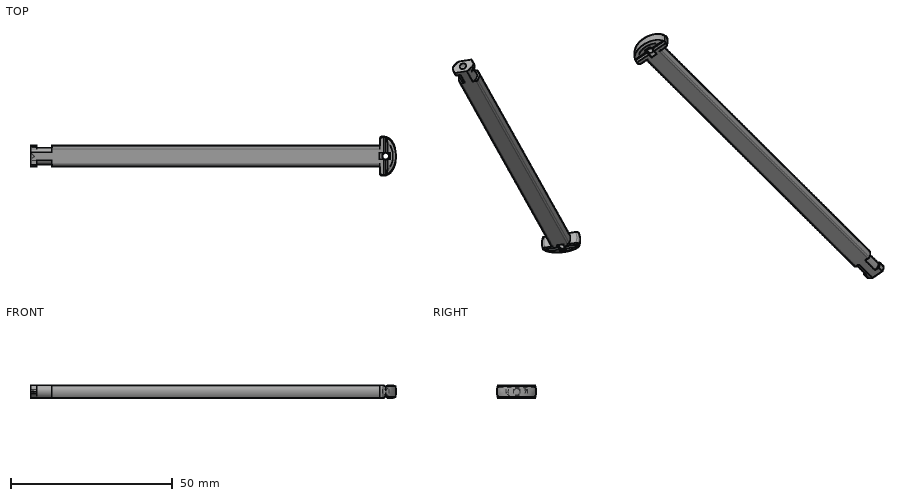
import cadquery as cq
import math

LENGTH = 113.1
THICKNESS = 4.0
HALF_THICKNESS = THICKNESS / 2

BAR_WIDTH = 6.7
BAR_RADIUS = BAR_WIDTH / 2
BAR_FLAT_ANGLE = math.asin(HALF_THICKNESS / BAR_RADIUS)
BAR_FLAT_WIDTH = 2 * BAR_RADIUS * math.cos(BAR_FLAT_ANGLE)
BAR_CORNER_RADIUS = 0.62

NECK_WIDTH = 5.3
NECK_FLAT_WIDTH = 2.5
NECK_END_X = 6.6

TIP_LENGTH = 1.8
FLANK_KNEE_Y = 2.9
FLANK_KNEE_Z = 0.7
FLANK_END_Y = 1.7
FLANK_END_Z = 1.7

CENTRE_HOLE_DIAMETER = 2.0
CENTRE_HOLE_DEPTH = 1.0

HEAD_START_X = 108.0
HEAD_WIDTH = 12.2
HEAD_FLAT_WIDTH = 11.5
HEAD_CORNER_RADIUS = 0.8
CAP_START_X = 109.2
CAP_FLAT_WIDTH = 9.0
CAP_BEVEL_HEIGHT = 0.3

HOLE_X = 109.8
HOLE_DIAMETER = 2.0
GROOVE_WIDTH = 1.2
GROOVE_DEPTH = 0.6
LEAD_IN_START_X = 107.8
LEAD_IN_END_X = 111.2
LEAD_IN_DEPTH = 1.4


def arched_bar(start_x, end_x, width, flat_width):
    """Bar along X with flat top and bottom faces and arched sides."""
    half_flat = flat_width / 2
    return (
        cq.Workplane("YZ", origin=(start_x, 0, 0))
        .moveTo(-half_flat, -HALF_THICKNESS)
        .lineTo(half_flat, -HALF_THICKNESS)
        .threePointArc((width / 2, 0), (half_flat, HALF_THICKNESS))
        .lineTo(-half_flat, HALF_THICKNESS)
        .threePointArc((-width / 2, 0), (-half_flat, -HALF_THICKNESS))
        .close()
        .extrude(end_x - start_x)
    )


def bayonet_tip():
    """Two lugs, each round on one side and bevelled in two steps on the other."""
    half_flat = BAR_FLAT_WIDTH / 2
    arc_middle_y = BAR_RADIUS * math.cos(BAR_FLAT_ANGLE / 2)
    arc_middle_z = BAR_RADIUS * math.sin(BAR_FLAT_ANGLE / 2)
    lug = (
        cq.Workplane("YZ")
        .moveTo(0, HALF_THICKNESS)
        .lineTo(-half_flat, HALF_THICKNESS)
        .threePointArc((-arc_middle_y, arc_middle_z), (-BAR_RADIUS, 0))
        .lineTo(-FLANK_KNEE_Y, -FLANK_KNEE_Z)
        .lineTo(-FLANK_END_Y, -FLANK_END_Z)
        .lineTo(0, -FLANK_END_Z)
        .close()
        .extrude(TIP_LENGTH)
    )
    return lug.union(lug.rotate((0, 0, 0), (1, 0, 0), 180))


def oval_body(flat_width, bevel_height):
    """Oval disc with bulged sides; a bevel narrows its top and bottom to the flat width."""
    bevel_z = HALF_THICKNESS - bevel_height
    half_width = HEAD_WIDTH / 2
    half_flat = flat_width / 2
    bulge = (HEAD_WIDTH - HEAD_FLAT_WIDTH) / 2
    side_radius = half_width - bulge * (bevel_z / HALF_THICKNESS) ** 2
    profile = cq.Workplane("XZ").moveTo(0, -HALF_THICKNESS).lineTo(half_flat, -HALF_THICKNESS)
    if bevel_height > 0:
        profile = profile.lineTo(side_radius, -bevel_z)
    profile = profile.threePointArc((half_width, 0), (side_radius, bevel_z))
    if bevel_height > 0:
        profile = profile.lineTo(half_flat, HALF_THICKNESS)
    disc = profile.lineTo(0, HALF_THICKNESS).close().revolve(360, (0, 0, 0), (0, 1, 0))
    squash = (LENGTH - CAP_START_X) / half_width
    oval = disc.val().transformGeometry(
        cq.Matrix([[squash, 0, 0, CAP_START_X], [0, 1, 0, 0], [0, 0, 1, 0]])
    )
    return cq.Workplane(obj=oval)


def slab(start_x, end_x):
    """Oversize block between two X positions, used to trim the head."""
    return (
        cq.Workplane("YZ", origin=(start_x, 0, 0))
        .rect(2 * HEAD_WIDTH, 2 * THICKNESS)
        .extrude(end_x - start_x)
    )


def head():
    """Base, plain cap up to the groove bottom, and bevelled cap beyond it."""
    base = arched_bar(HEAD_START_X, CAP_START_X, HEAD_WIDTH, HEAD_FLAT_WIDTH)
    base = base.faces("<X").edges("not |Y").fillet(HEAD_CORNER_RADIUS)
    plain_cap = oval_body(HEAD_FLAT_WIDTH, 0).intersect(slab(CAP_START_X, HOLE_X))
    bevelled_cap = oval_body(CAP_FLAT_WIDTH, CAP_BEVEL_HEIGHT).intersect(slab(HOLE_X, LENGTH + THICKNESS))
    return base.union(plain_cap).union(bevelled_cap)


def groove_and_lead_in():
    """Cutter for the top face: V groove along Y and a short sloped pocket at the hole."""
    floor_z = HALF_THICKNESS - GROOVE_DEPTH
    groove = (
        cq.Workplane("XZ")
        .moveTo(HOLE_X - GROOVE_WIDTH / 2, HALF_THICKNESS)
        .lineTo(HOLE_X, floor_z)
        .lineTo(HOLE_X + GROOVE_WIDTH / 2, HALF_THICKNESS)
        .close()
        .extrude(HEAD_WIDTH, both=True)
    )
    lead_in = (
        cq.Workplane("XZ")
        .moveTo(LEAD_IN_START_X, HALF_THICKNESS)
        .lineTo(HOLE_X, HALF_THICKNESS - LEAD_IN_DEPTH)
        .lineTo(LEAD_IN_END_X, HALF_THICKNESS)
        .close()
        .extrude(HOLE_DIAMETER / 2, both=True)
    )
    return groove.union(lead_in)


bar = arched_bar(NECK_END_X, CAP_START_X, BAR_WIDTH, BAR_FLAT_WIDTH)
bar = bar.edges("|X").fillet(BAR_CORNER_RADIUS)
neck = arched_bar(0, NECK_END_X, NECK_WIDTH, NECK_FLAT_WIDTH)
result = bar.union(neck).union(bayonet_tip()).union(head())

top_cut = groove_and_lead_in()
cord_hole = cq.Workplane("XY").center(HOLE_X, 0).circle(HOLE_DIAMETER / 2).extrude(THICKNESS, both=True)
centre_hole = cq.Workplane(
    obj=cq.Solid.makeCone(CENTRE_HOLE_DIAMETER / 2, 0, CENTRE_HOLE_DEPTH, dir=cq.Vector(1, 0, 0))
)
result = result.cut(top_cut).cut(top_cut.mirror("XY"))
result = result.cut(cord_hole).cut(centre_hole)